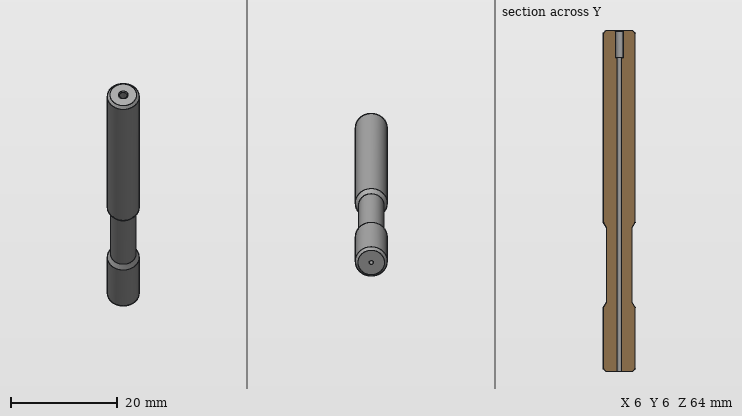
import cadquery as cq

length = 64.0
body_radius = 6.0 / 2
end_chamfer = 0.5

neck_radius = 4.8 / 2
shoulder_height = 1.0
lower_shoulder_start = 12.0
upper_shoulder_end = 28.0

mouth_radius = 1.8 / 2
counterbore_radius = 1.4 / 2
counterbore_depth = 5.1
through_radius = 0.8 / 2


def revolve_profile(profile):
    """Revolve a closed (radius, height) outline about the Z axis."""
    return cq.Workplane("XZ").polyline(profile).close().revolve(360, (0, 0), (0, 1))


def turned_pin():
    """Revolve the half profile of the pin about the Z axis."""
    end_radius = body_radius - end_chamfer
    profile = [
        (0, 0),
        (end_radius, 0),
        (body_radius, end_chamfer),
        (body_radius, lower_shoulder_start),
        (neck_radius, lower_shoulder_start + shoulder_height),
        (neck_radius, upper_shoulder_end - shoulder_height),
        (body_radius, upper_shoulder_end),
        (body_radius, length - end_chamfer),
        (end_radius, length),
        (0, length),
    ]
    return revolve_profile(profile)


def stepped_bore():
    """Revolve the material removed by the chamfered, counterbored through hole."""
    mouth_chamfer = mouth_radius - counterbore_radius
    profile = [
        (0, 0),
        (through_radius, 0),
        (through_radius, length - counterbore_depth),
        (counterbore_radius, length - counterbore_depth),
        (counterbore_radius, length - mouth_chamfer),
        (mouth_radius, length),
        (0, length),
    ]
    return revolve_profile(profile)


result = turned_pin().cut(stepped_bore())